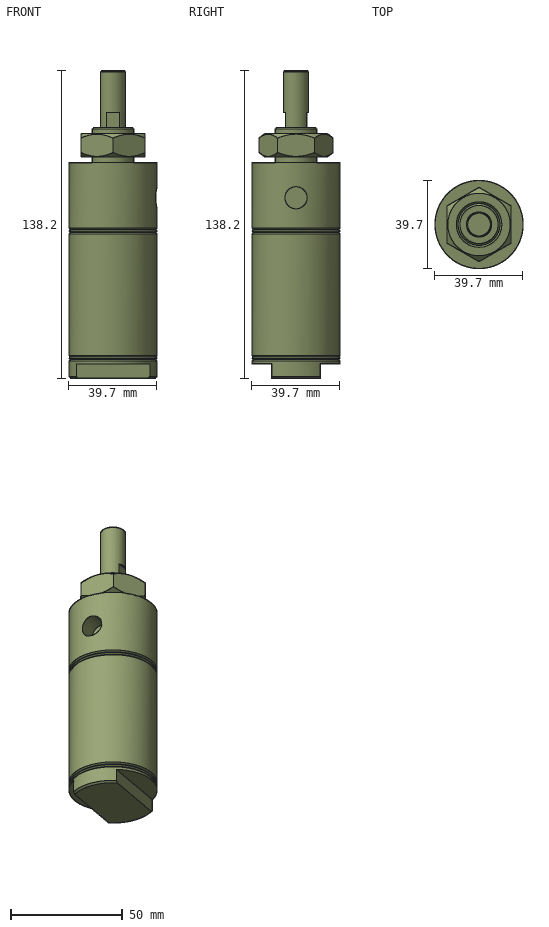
import cadquery as cq
import math

total_height = 138.2
head_top = 96.9
neck_top = 112.8

body_radius = 19.83
bottom_chamfer = 0.8
neck_radius = 9.4
neck_chamfer = 0.8

groove_pitch = 1.2
groove_depth = 0.7
grooves_per_band = 2
groove_band_tops = (67.5, 10.2)

tang_width = 22.0
tang_height = 6.5

port_diameter = 10.0
port_depth = 9.7
port_height = 81.1

rod_radius = 5.7
rod_chamfer = 0.5
rod_flat_width = 9.7
rod_flat_top = 119.4

nut_across_flats = 28.9
nut_bottom = 99.4
nut_top = 110.0
nut_face_radius = 14.03
nut_corner_drop = 2.1
nut_countersink_radius = 10.2


def parallel_flats(radius, width, bottom, top):
    """Material to remove outside two flats that face -Y and +Y."""
    height = top - bottom
    plane = cq.Workplane("XY").workplane(offset=bottom)
    outside = plane.rect(4 * radius, 4 * radius).extrude(height)
    kept = plane.rect(4 * radius, width).extrude(height)
    return outside.cut(kept)


def v_groove(top):
    """Ring with a triangular section whose mouth starts at the given height."""
    root = (body_radius - groove_depth, top - groove_pitch / 2)
    return (
        cq.Workplane("XZ")
        .polyline([(body_radius, top), root, (body_radius, top - groove_pitch)])
        .close()
        .revolve(360, (0, 0, 0), (0, 1, 0))
    )


def make_body():
    barrel = cq.Workplane("XY").circle(body_radius).extrude(head_top)
    barrel = barrel.faces("<Z").chamfer(bottom_chamfer)
    neck = cq.Workplane("XY").workplane(offset=head_top).circle(neck_radius).extrude(neck_top - head_top)
    neck = neck.faces(">Z").chamfer(neck_chamfer)
    body = barrel.union(neck)

    for band_top in groove_band_tops:
        for index in range(grooves_per_band):
            body = body.cut(v_groove(band_top - index * groove_pitch))

    port = (
        cq.Workplane("YZ")
        .workplane(offset=body_radius - port_depth)
        .center(0, port_height)
        .circle(port_diameter / 2)
        .extrude(port_depth)
    )
    return body.cut(port).cut(parallel_flats(body_radius, tang_width, 0, tang_height))


def make_rod():
    """Rod that stands on the end face of the neck, with wrench flats at its foot."""
    rod = cq.Workplane("XY").workplane(offset=neck_top).circle(rod_radius).extrude(total_height - neck_top)
    rod = rod.faces(">Z").chamfer(rod_chamfer)
    return rod.cut(parallel_flats(rod_radius, rod_flat_width, neck_top, rod_flat_top))


def make_nut():
    """Hexagon nut on the neck, with flats facing -X and +X and corners bevelled at both ends."""
    corner_radius = nut_across_flats / 2 / math.cos(math.pi / 6)
    hexagon = (
        cq.Workplane("XY")
        .workplane(offset=nut_bottom)
        .transformed(rotate=(0, 0, 90))
        .polygon(6, 2 * corner_radius)
        .extrude(nut_top - nut_bottom)
    )
    countersink_depth = nut_countersink_radius - neck_radius
    turned_section = [
        (neck_radius, nut_bottom + countersink_depth),
        (nut_countersink_radius, nut_bottom),
        (nut_face_radius, nut_bottom),
        (corner_radius, nut_bottom + nut_corner_drop),
        (corner_radius, nut_top - nut_corner_drop),
        (nut_face_radius, nut_top),
        (nut_countersink_radius, nut_top),
        (neck_radius, nut_top - countersink_depth),
    ]
    turned = cq.Workplane("XZ").polyline(turned_section).close().revolve(360, (0, 0, 0), (0, 1, 0))
    return hexagon.intersect(turned)


body = make_body()
rod = make_rod()
nut = make_nut()

result = cq.Compound.makeCompound([body.val(), rod.val(), nut.val()])